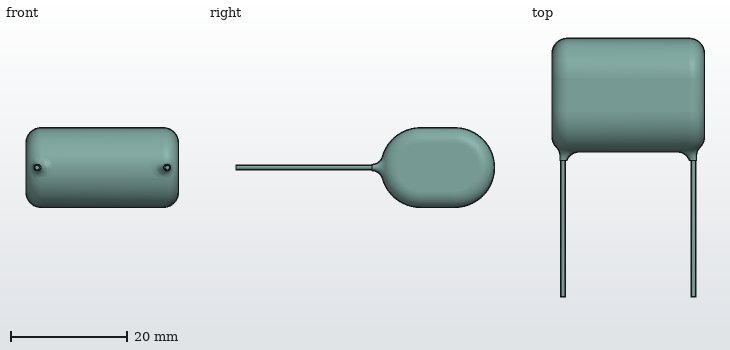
import cadquery as cq

HOUSING_LENGTH = 26.3
HOUSING_DEPTH = 19.62
HOUSING_HEIGHT = 13.8
END_ROUNDING = 2.68

COLLAR_RADIUS = 0.55
COLLAR_LENGTH = 1.45
COLLAR_FLARE_RADIUS = 2.25
TRIM_ALLOWANCE = 4.45

TOTAL_DEPTH = 44.6
LEAD_PITCH = 22.5
LEAD_RADIUS = 0.4

HOUSING_FRONT = -HOUSING_DEPTH / 2
COLLAR_END = HOUSING_FRONT - COLLAR_LENGTH
LEAD_LENGTH = TOTAL_DEPTH - HOUSING_DEPTH - COLLAR_LENGTH
LEAD_POSITIONS = [-LEAD_PITCH / 2, LEAD_PITCH / 2]


def rod_along_y(x, y_start, length, radius):
    """Round rod running from y_start toward -Y."""
    return cq.Workplane("XZ", origin=(x, y_start, 0)).circle(radius).extrude(length)


def make_housing():
    """Oval block with collars flaring smoothly out of its -Y side."""
    housing = (
        cq.Workplane("YZ")
        .slot2D(HOUSING_DEPTH, HOUSING_HEIGHT)
        .extrude(HOUSING_LENGTH / 2, both=True)
        .faces("<X or >X")
        .edges()
        .fillet(END_ROUNDING)
    )
    for x in LEAD_POSITIONS:
        collar_length = HOUSING_DEPTH / 2 + COLLAR_LENGTH + TRIM_ALLOWANCE
        housing = housing.union(rod_along_y(x, 0, collar_length, COLLAR_RADIUS))

    root_zone = cq.selectors.BoxSelector(
        (-HOUSING_LENGTH, COLLAR_END, -2 * COLLAR_RADIUS),
        (HOUSING_LENGTH, HOUSING_FRONT + COLLAR_LENGTH, 2 * COLLAR_RADIUS),
        boundingbox=True,
    )
    root_edges = housing.edges(root_zone)
    housing = root_edges.fillet(COLLAR_FLARE_RADIUS)

    trim = (
        cq.Workplane("XZ", origin=(0, COLLAR_END, 0))
        .rect(2 * HOUSING_LENGTH, 2 * HOUSING_HEIGHT)
        .extrude(2 * TRIM_ALLOWANCE)
    )
    return housing.cut(trim)


def make_lead(x):
    """Wire lead starting at the flat end of a collar."""
    return rod_along_y(x, COLLAR_END, LEAD_LENGTH, LEAD_RADIUS)


housing = make_housing()
leads = [make_lead(x) for x in LEAD_POSITIONS]

result = cq.Compound.makeCompound([housing.val(), *[lead.val() for lead in leads]])